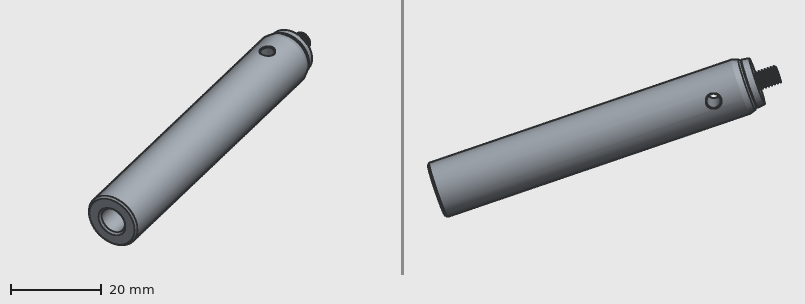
import cadquery as cq
import math

total_length = 79.85
post_length = 74.9
post_diameter = 12.7
foot_chamfer = 0.5

collar_top_diameter = 10.8
collar_bottom_diameter = 11.25
collar_height = 1.7
groove_diameter = 10.8
groove_floor_depth = 1.9
shoulder_diameter = 11.8
shoulder_top_depth = 2.4
shoulder_bottom_depth = 3.8

cross_hole_diameter = 3.1
cross_hole_rim_chamfer = 0.2
cross_hole_depth = 10.1

socket_mouth_diameter = 7.0
socket_diameter = 6.0
pilot_diameter = 5.2
socket_depth = 12.0
drill_point_angle = 118.0

stud_diameter = 4.0
thread_pitch = 0.7
thread_depth = 0.375
crest_width = thread_pitch / 8
root_width = thread_pitch / 4
ridge_overlap = 0.04
spare_turns = 2


def make_socket():
    """Tool for the blind socket, opening at y = 0."""
    mouth_radius = socket_mouth_diameter / 2
    socket_radius = socket_diameter / 2
    pilot_radius = pilot_diameter / 2
    step_end = socket_depth + socket_radius - pilot_radius
    point_height = pilot_radius / math.tan(math.radians(drill_point_angle / 2))
    profile = (
        cq.Workplane("YZ")
        .moveTo(0, 0)
        .lineTo(0, mouth_radius)
        .lineTo(mouth_radius - socket_radius, socket_radius)
        .lineTo(socket_depth, socket_radius)
        .lineTo(step_end, pilot_radius)
        .lineTo(step_end + point_height, 0)
        .close()
    )
    return profile.revolve(360, (0, 0, 0), (1, 0, 0))


def make_post_blank():
    """Turned blank with a tapered collar, a V groove and a tapered shoulder at its head."""
    post_radius = post_diameter / 2
    profile = (
        cq.Workplane("YZ")
        .moveTo(0, 0)
        .lineTo(0, post_radius - foot_chamfer)
        .lineTo(foot_chamfer, post_radius)
        .lineTo(post_length - shoulder_bottom_depth, post_radius)
        .lineTo(post_length - shoulder_top_depth, shoulder_diameter / 2)
        .lineTo(post_length - groove_floor_depth, groove_diameter / 2)
        .lineTo(post_length - collar_height, collar_bottom_diameter / 2)
        .lineTo(post_length, collar_top_diameter / 2)
        .lineTo(post_length, 0)
        .close()
    )
    return profile.revolve(360, (0, 0, 0), (1, 0, 0))


def cut_cross_hole(post_blank):
    """Drill the hole along Z straight through the post and chamfer both of its rims."""
    hole_y = post_length - cross_hole_depth
    drill = (
        cq.Workplane("XY")
        .center(0, hole_y)
        .circle(cross_hole_diameter / 2)
        .extrude(post_diameter, both=True)
    )
    rim_zone = cq.selectors.BoxSelector(
        (-cross_hole_diameter, hole_y - cross_hole_diameter, -post_diameter),
        (cross_hole_diameter, hole_y + cross_hole_diameter, post_diameter),
    )
    return post_blank.cut(drill).edges(rim_zone).edges("not |Z").chamfer(cross_hole_rim_chamfer)


def make_post():
    """Post with the cross hole and the foot socket cut away."""
    return cut_cross_hole(make_post_blank()).cut(make_socket())


def make_thread_ridge(helix_start, turns):
    """Right-hand helical ridge along Z whose crest starts on the +X side at helix_start."""
    stud_radius = stud_diameter / 2
    core_radius = stud_radius - thread_depth
    crest_half = crest_width / 2
    root_half = (thread_pitch - root_width) / 2
    flank_slope = (root_half - crest_half) / thread_depth
    buried_radius = core_radius - ridge_overlap
    buried_half = root_half + ridge_overlap * flank_slope

    helix = cq.Wire.makeHelix(
        thread_pitch, turns * thread_pitch, core_radius, cq.Vector(0, 0, helix_start)
    )
    return (
        cq.Workplane("XZ")
        .moveTo(buried_radius, helix_start - buried_half)
        .lineTo(stud_radius, helix_start - crest_half)
        .lineTo(stud_radius, helix_start + crest_half)
        .lineTo(buried_radius, helix_start + buried_half)
        .close()
        .sweep(cq.Workplane(helix), isFrenet=True)
    )


def make_stud():
    """Threaded stud standing on the head of the post, trimmed flat at both ends."""
    stud_length = total_length - post_length
    turns = math.ceil(stud_length / thread_pitch) + spare_turns
    helix_start = stud_length + thread_pitch * (spare_turns - 0.5 - turns)
    core_start = helix_start - thread_pitch
    core_length = (turns + spare_turns) * thread_pitch
    core = (
        cq.Workplane("XY")
        .workplane(offset=core_start)
        .circle(stud_diameter / 2 - thread_depth)
        .extrude(core_length)
    )
    envelope = cq.Workplane("XY").circle(stud_diameter).extrude(stud_length)
    upright = core.union(make_thread_ridge(helix_start, turns)).intersect(envelope)
    return upright.rotate((0, 0, 0), (1, 0, 0), -90).translate((0, post_length, 0))


post = make_post()
stud = make_stud()
result = cq.Compound.makeCompound([post.val(), stud.val()])